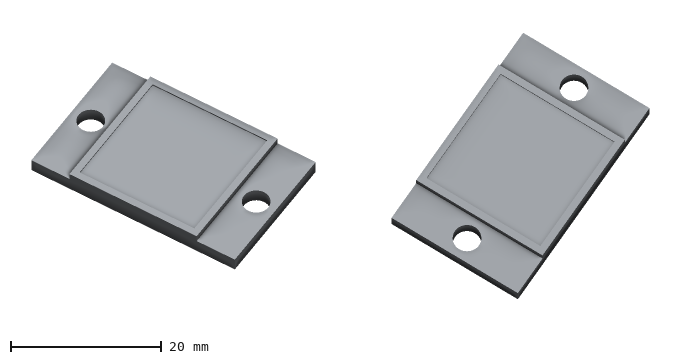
import cadquery as cq

length = 32.0
width = 20.0
height = 3.0

pad_side = width
pad_rise = 1.0
plate_thickness = height - pad_rise

rim_width = 1.0
recess_side = pad_side - 2 * rim_width
recess_depth = 0.2

hole_diameter = 3.8
hole_spacing = (length + pad_side) / 2

plate = cq.Workplane("XY").box(length, width, plate_thickness, centered=(True, True, False))

pad = cq.Workplane("XY").workplane(offset=plate_thickness).rect(pad_side, width).extrude(pad_rise)
body = plate.union(pad)

recess = cq.Workplane("XY").workplane(offset=height).rect(recess_side, recess_side).extrude(-recess_depth)
body = body.cut(recess)

holes = (
    cq.Workplane("XY")
    .pushPoints([(side * hole_spacing / 2, 0) for side in (-1, 1)])
    .circle(hole_diameter / 2)
    .extrude(height)
)
result = body.cut(holes)